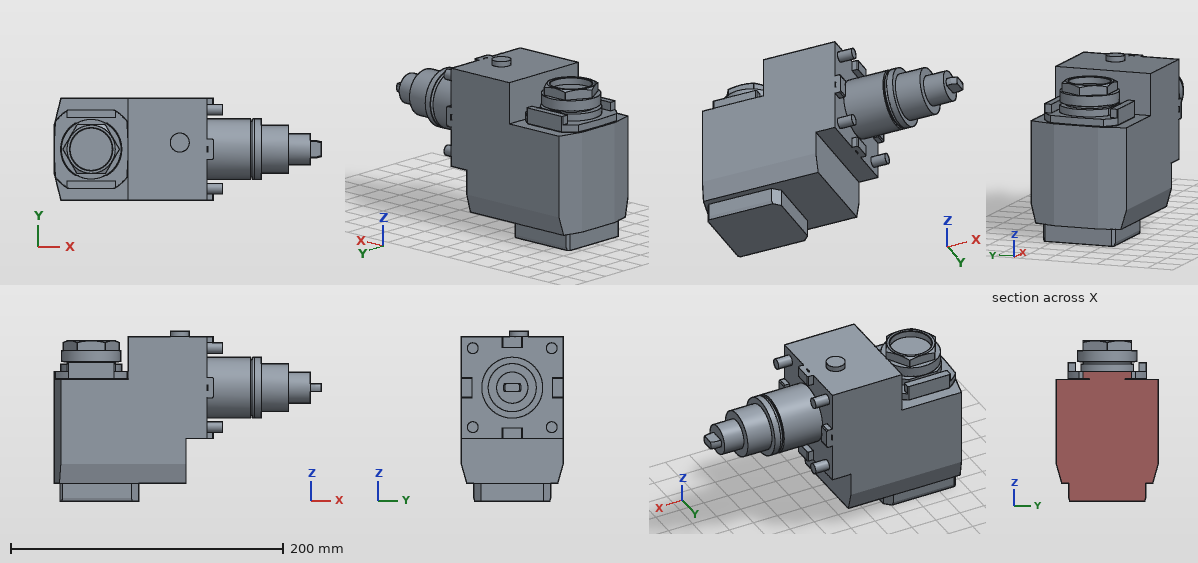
import cadquery as cq
import math


WIDTH = 75.0
HALF_WIDTH = WIDTH / 2
TOP_Z = 37.5
SHOULDER_Z = 6.0
FLANGE_BOTTOM_Z = -37.5
BOTTOM_Z = -70.3
LEFT_X = -112.5
SHOULDER_X = -58.0
LOWER_RIGHT_X = -15.4
NOSE_DEPTH = 5.0
NOSE_FLAT_HALF = 17.5
TAPER_HEIGHT = 14.2
TAPER_INSET = 4.0

BASE_BOTTOM_Z = -83.5
BASE_LEFT_X = -108.3
BASE_RIGHT_X = -50.2
BASE_WIDTH = 56.6
BASE_LEFT_CHAMFER = 2.1
BASE_RIGHT_CHAMFER = 5.4
BASE_EDGE_HEIGHT = 2.4
BASE_EDGE_INSET = BASE_EDGE_HEIGHT * TAPER_INSET / TAPER_HEIGHT

BUTTON_X = -20.1
BUTTON_Y = 4.9
BUTTON_DIAMETER = 14.0
BUTTON_HEIGHT = 4.0

SHANK_STEPS = [(44.8, 39.8), (35.4, 59.8), (23.0, 75.8)]
GROOVE_START_X = 32.0
GROOVE_END_X = 34.9
GROOVE_DEPTH = 1.8

SEAL_SECTION_DIAMETER = GROOVE_DEPTH

TANG_END_X = 84.0
TANG_DIAMETER = 13.0
TANG_THICKNESS = 6.0
TANG_TAPER_LENGTH = 4.1
TANG_TAPER_INSET = 1.0

SCREW_DIAMETER = 8.0
SCREW_LENGTH = 11.4
SCREW_OFFSET = 29.0
KEY_WIDTH = 15.2
KEY_LENGTH = 4.7
KEY_DEPTH = 8.0
KEY_CORNER_CHAMFER = 0.9
KEY_SLOT_LENGTH = 4.0
KEY_SLOT_WIDTH = 0.5
KEY_SLOT_DEPTH = 1.0

SPINDLE_X = -85.2
COVER_TOP_Z = 11.9
COVER_RADIUS = 33.5
COVER_HALF_WIDTH = 29.0
COVER_HALF_LENGTH = 27.2
COVER_FLAT_HALF = 2.0
COVER_CORNER_X = 26.2
COVER_CORNER_Y = 21.0
COVER_EDGE_CHAMFER = 0.6
BAR_TOP_Z = 18.4
BAR_HALF_LENGTH = 17.75
BAR_INNER_Y = 23.3

COLLAR_DIAMETER = 45.0
COLLAR_ACROSS_FLATS = 38.6
COLLAR_TOP_Z = 17.2

STUB_DIAMETER = 35.6
RING_BOTTOM_Z = 18.8
RING_BOTTOM_DIAMETER = 38.6
RING_CONE_HEIGHT = 0.6
RING_DIAMETER = 43.8
HEX_BOTTOM_Z = 27.2
HEX_TOP_Z = 34.5
HEX_ACROSS_FLATS = 36.0
HEX_CORNER_DIAMETER = 41.4
HEX_TOP_DIAMETER = 35.4
HEX_TOP_DROP = 1.4
SOCKET_DIAMETER = 31.0
SOCKET_DEPTH = 5.2
SOCKET_EDGE_CHAMFER = 0.4


def level(z, x=0.0):
    """Horizontal workplane at height z, with its origin on the point (x, 0)."""
    return cq.Workplane("XY", origin=(x, 0, z))


def crosswise(x):
    """Workplane square to the shank axis at position x; local x is Y and local y is Z."""
    return cq.Workplane("YZ", origin=(x, 0, 0))


def tapered_side_profile(half_width, top, bottom, edge_height, edge_inset):
    """Outline in YZ of a block whose lower side edges slope inwards."""
    return [
        (-half_width, top),
        (half_width, top),
        (half_width, bottom + edge_height),
        (half_width - edge_inset, bottom),
        (edge_inset - half_width, bottom),
        (-half_width, bottom + edge_height),
    ]


def housing_block():
    side = (
        cq.Workplane("XZ", origin=(0, HALF_WIDTH, 0))
        .moveTo(LEFT_X, SHOULDER_Z)
        .lineTo(SHOULDER_X, SHOULDER_Z)
        .lineTo(SHOULDER_X, TOP_Z)
        .lineTo(0, TOP_Z)
        .lineTo(0, FLANGE_BOTTOM_Z)
        .lineTo(LOWER_RIGHT_X, FLANGE_BOTTOM_Z)
        .lineTo(LOWER_RIGHT_X, BOTTOM_Z)
        .lineTo(LEFT_X, BOTTOM_Z)
        .close()
        .extrude(WIDTH)
    )
    plan = (
        level(BOTTOM_Z)
        .polyline([
            (LEFT_X, -NOSE_FLAT_HALF),
            (LEFT_X + NOSE_DEPTH, -HALF_WIDTH),
            (0, -HALF_WIDTH),
            (0, HALF_WIDTH),
            (LEFT_X + NOSE_DEPTH, HALF_WIDTH),
            (LEFT_X, NOSE_FLAT_HALF),
        ])
        .close()
        .extrude(TOP_Z - BOTTOM_Z)
    )
    section = (
        crosswise(LEFT_X)
        .polyline(tapered_side_profile(HALF_WIDTH, TOP_Z, BOTTOM_Z, TAPER_HEIGHT, TAPER_INSET))
        .close()
        .extrude(-LEFT_X)
    )
    return side.intersect(plan).intersect(section)


def base_pad():
    section = (
        crosswise(BASE_LEFT_X)
        .polyline(tapered_side_profile(
            BASE_WIDTH / 2, BOTTOM_Z, BASE_BOTTOM_Z, BASE_EDGE_HEIGHT, BASE_EDGE_INSET))
        .close()
        .extrude(BASE_RIGHT_X - BASE_LEFT_X)
    )
    half_width = BASE_WIDTH / 2
    plan = (
        level(BASE_BOTTOM_Z)
        .polyline([
            (BASE_LEFT_X, BASE_LEFT_CHAMFER - half_width),
            (BASE_LEFT_X + BASE_LEFT_CHAMFER, -half_width),
            (BASE_RIGHT_X - BASE_RIGHT_CHAMFER, -half_width),
            (BASE_RIGHT_X, BASE_RIGHT_CHAMFER - half_width),
            (BASE_RIGHT_X, half_width - BASE_RIGHT_CHAMFER),
            (BASE_RIGHT_X - BASE_RIGHT_CHAMFER, half_width),
            (BASE_LEFT_X + BASE_LEFT_CHAMFER, half_width),
            (BASE_LEFT_X, half_width - BASE_LEFT_CHAMFER),
        ])
        .close()
        .extrude(BOTTOM_Z - BASE_BOTTOM_Z)
    )
    return section.intersect(plan)


def top_button():
    return level(TOP_Z).center(BUTTON_X, BUTTON_Y).circle(BUTTON_DIAMETER / 2).extrude(BUTTON_HEIGHT)


def shank():
    """Stepped shank with a groove for the seal ring."""
    body = cq.Workplane("YZ")
    start = 0.0
    for diameter, end in SHANK_STEPS:
        body = body.union(crosswise(start).circle(diameter / 2).extrude(end - start))
        start = end

    main_radius = SHANK_STEPS[0][0] / 2
    groove = (
        crosswise(GROOVE_START_X)
        .circle(main_radius)
        .circle(main_radius - GROOVE_DEPTH)
        .extrude(GROOVE_END_X - GROOVE_START_X)
    )
    return body.cut(groove)


def drive_tang():
    start = SHANK_STEPS[-1][1]
    length = TANG_END_X - start
    radius = TANG_DIAMETER / 2
    round_end = (
        cq.Workplane("XY")
        .polyline([
            (start, 0),
            (start, radius),
            (TANG_END_X - TANG_TAPER_LENGTH, radius),
            (TANG_END_X, radius - TANG_TAPER_INSET),
            (TANG_END_X, 0),
        ])
        .close()
        .revolve(360, (0, 0), (1, 0))
    )
    flats = crosswise(start).rect(TANG_DIAMETER, TANG_THICKNESS).extrude(length)
    return round_end.intersect(flats)


def mounting_screws():
    pitch = 2 * SCREW_OFFSET
    return crosswise(0).rect(pitch, pitch, forConstruction=True).vertices().circle(
        SCREW_DIAMETER / 2).extrude(SCREW_LENGTH)


def locating_key(angle):
    """Key flush with one side of the mounting flange, turned by the angle about the shank axis."""
    key = (
        level(TOP_Z - KEY_DEPTH)
        .center(KEY_LENGTH / 2, 0)
        .rect(KEY_LENGTH, KEY_WIDTH)
        .extrude(KEY_DEPTH)
        .edges("|Z and >X")
        .chamfer(KEY_CORNER_CHAMFER)
    )
    slot = (
        level(TOP_Z - KEY_SLOT_DEPTH)
        .center(KEY_SLOT_WIDTH / 2, 0)
        .rect(KEY_SLOT_WIDTH, KEY_SLOT_LENGTH)
        .extrude(KEY_SLOT_DEPTH)
    )
    return key.cut(slot).rotate((0, 0, 0), (1, 0, 0), angle)


def bearing_cover():
    """Round-cornered plate with a raised bar along each long side."""
    height = BAR_TOP_Z - SHOULDER_Z
    corner_points = [
        (COVER_HALF_LENGTH, COVER_FLAT_HALF),
        (COVER_CORNER_X, COVER_CORNER_Y),
        (COVER_CORNER_X, COVER_HALF_WIDTH),
    ]
    right_half = [(x, -y) for x, y in reversed(corner_points)] + corner_points
    left_half = [(-x, -y) for x, y in right_half]
    outline = level(SHOULDER_Z, SPINDLE_X).polyline(right_half + left_half).close().extrude(height)
    disc = level(SHOULDER_Z, SPINDLE_X).circle(COVER_RADIUS).extrude(height)
    blank = outline.intersect(disc).faces("<Z").chamfer(COVER_EDGE_CHAMFER)

    plate = level(SHOULDER_Z, SPINDLE_X).rect(2 * COVER_RADIUS, 2 * COVER_RADIUS).extrude(
        COVER_TOP_Z - SHOULDER_Z)
    bar_width = COVER_HALF_WIDTH - BAR_INNER_Y
    bar_y = BAR_INNER_Y + bar_width / 2
    bars = (
        level(SHOULDER_Z, SPINDLE_X)
        .pushPoints([(0, -bar_y), (0, bar_y)])
        .rect(2 * BAR_HALF_LENGTH, bar_width)
        .extrude(height)
    )
    return blank.intersect(plate.union(bars))


def spindle_collar():
    """Round collar with two spanner flats."""
    height = COLLAR_TOP_Z - COVER_TOP_Z
    collar = level(COVER_TOP_Z, SPINDLE_X).circle(COLLAR_DIAMETER / 2).extrude(height)
    flats = level(COVER_TOP_Z, SPINDLE_X).rect(COLLAR_DIAMETER, COLLAR_ACROSS_FLATS).extrude(height)
    return collar.intersect(flats)


def nut_stub_and_ring():
    cone_top_z = RING_BOTTOM_Z + RING_CONE_HEIGHT
    return (
        cq.Workplane("XZ", origin=(SPINDLE_X, 0, 0))
        .polyline([
            (0, COLLAR_TOP_Z),
            (STUB_DIAMETER / 2, COLLAR_TOP_Z),
            (STUB_DIAMETER / 2, RING_BOTTOM_Z),
            (RING_BOTTOM_DIAMETER / 2, RING_BOTTOM_Z),
            (RING_DIAMETER / 2, cone_top_z),
            (RING_DIAMETER / 2, HEX_BOTTOM_Z),
            (0, HEX_BOTTOM_Z),
        ])
        .close()
        .revolve(360, (0, 0), (0, 1))
    )


def nut_hexagon():
    """Hexagon with slightly rounded corners, a cone-trimmed top and a round socket."""
    height = HEX_TOP_Z - HEX_BOTTOM_Z
    corner_to_corner = HEX_ACROSS_FLATS / math.cos(math.pi / 6)
    prism = level(HEX_BOTTOM_Z, SPINDLE_X).polygon(6, corner_to_corner).extrude(height)
    trim = (
        cq.Workplane("XZ", origin=(SPINDLE_X, 0, 0))
        .polyline([
            (0, HEX_BOTTOM_Z),
            (HEX_CORNER_DIAMETER / 2, HEX_BOTTOM_Z),
            (HEX_CORNER_DIAMETER / 2, HEX_TOP_Z - HEX_TOP_DROP),
            (HEX_TOP_DIAMETER / 2, HEX_TOP_Z),
            (0, HEX_TOP_Z),
        ])
        .close()
        .revolve(360, (0, 0), (0, 1))
    )
    socket = level(HEX_TOP_Z - SOCKET_DEPTH, SPINDLE_X).circle(SOCKET_DIAMETER / 2).extrude(SOCKET_DEPTH)
    socket_rim = (
        level(HEX_TOP_Z, SPINDLE_X)
        .circle(SOCKET_DIAMETER / 2 + SOCKET_EDGE_CHAMFER)
        .workplane(offset=-SOCKET_EDGE_CHAMFER)
        .circle(SOCKET_DIAMETER / 2)
        .loft()
    )
    return prism.intersect(trim).cut(socket).cut(socket_rim)


def make_housing():
    body = housing_block()
    body = body.union(base_pad())
    body = body.union(top_button())
    body = body.union(shank())
    body = body.union(drive_tang())
    body = body.union(mounting_screws())
    for angle in (0, 90, 180, 270):
        body = body.union(locating_key(angle))
    body = body.union(bearing_cover())
    body = body.union(spindle_collar())
    body = body.union(nut_stub_and_ring())
    return body.union(nut_hexagon())


def make_seal_ring():
    section_radius = SEAL_SECTION_DIAMETER / 2
    ring_x = GROOVE_END_X - section_radius
    ring_radius = SHANK_STEPS[0][0] / 2 - section_radius
    return (
        cq.Workplane("XY", origin=(ring_x, ring_radius, 0))
        .circle(section_radius)
        .revolve(360, (0, -ring_radius), (1, -ring_radius))
    )


housing = make_housing()
seal_ring = make_seal_ring()

result = cq.Compound.makeCompound([housing.val(), seal_ring.val()])